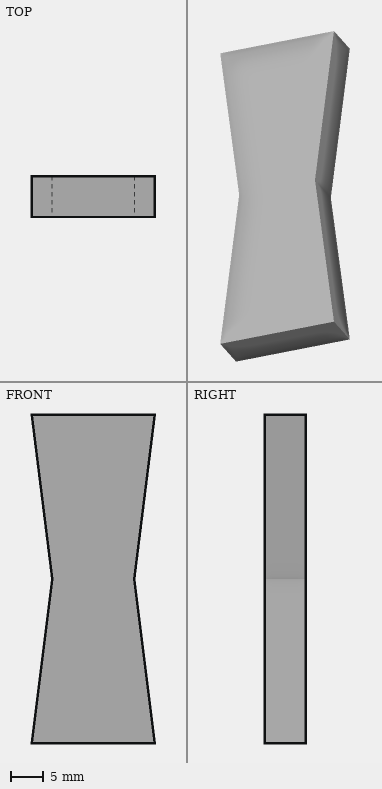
import cadquery as cq

end_width = 19.05
waist_width = 12.7
thickness = 6.35
height = 50.8

half_end = end_width / 2
half_waist = waist_width / 2
half_height = height / 2

outline = [
    (-half_end, -half_height),
    (half_end, -half_height),
    (half_waist, 0),
    (half_end, half_height),
    (-half_end, half_height),
    (-half_waist, 0),
]

result = cq.Workplane("XZ").polyline(outline).close().extrude(thickness / 2, both=True)